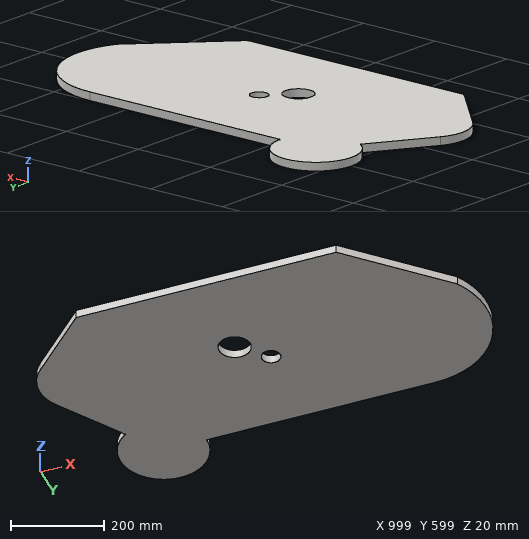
import cadquery as cq
import math

LENGTH = 999
THICKNESS = 20
TOP_EDGE = 499

END_RADIUS = 200
END_ARC_STOP = math.radians(-30)

CORNER_RADIUS = 100
BOTTOM_LEFT_X = 170

DISC_RADIUS = 100
DISC_X = 170
DISC_Y = TOP_EDGE

LARGE_HOLE_DIAMETER = 71.0
LARGE_HOLE_CENTER = (446.0, 224.0)
SMALL_HOLE_DIAMETER = 42.0
HOLE_OFFSET = 60

end_x = LENGTH - END_RADIUS
end_y = TOP_EDGE - END_RADIUS
corner_x = CORNER_RADIUS
corner_y = BOTTOM_LEFT_X - corner_x + CORNER_RADIUS * math.sqrt(2)


def on_circle(x, y, radius, angle):
    return (x + radius * math.cos(angle), y + radius * math.sin(angle))


def end_point(angle):
    return on_circle(end_x, end_y, END_RADIUS, angle)


def corner_point(angle):
    return on_circle(corner_x, corner_y, CORNER_RADIUS, angle)


center_distance = math.hypot(DISC_X - corner_x, DISC_Y - corner_y)
center_direction = math.atan2(DISC_Y - corner_y, DISC_X - corner_x)
upper_tangent = center_direction + math.acos(CORNER_RADIUS / center_distance)
lower_tangent = math.radians(225)

end_stop = end_point(END_ARC_STOP)
bottom_right_x = end_stop[0] - end_stop[1]


def make_body():
    return (
        cq.Workplane("XY")
        .moveTo(BOTTOM_LEFT_X, 0)
        .lineTo(bottom_right_x, 0)
        .lineTo(*end_stop)
        .threePointArc(end_point(math.radians(30)), end_point(math.radians(90)))
        .lineTo(DISC_X, DISC_Y)
        .lineTo(*corner_point(upper_tangent))
        .threePointArc(
            corner_point((upper_tangent + lower_tangent) / 2),
            corner_point(lower_tangent),
        )
        .close()
        .extrude(THICKNESS)
    )


def make_disc():
    return cq.Workplane("XY").center(DISC_X, DISC_Y).circle(DISC_RADIUS).extrude(THICKNESS)


def make_hole(center, diameter):
    return cq.Workplane("XY").center(*center).circle(diameter / 2).extrude(THICKNESS)


small_hole_center = tuple(place + HOLE_OFFSET for place in LARGE_HOLE_CENTER)

result = (
    make_body()
    .union(make_disc())
    .cut(make_hole(LARGE_HOLE_CENTER, LARGE_HOLE_DIAMETER))
    .cut(make_hole(small_hole_center, SMALL_HOLE_DIAMETER))
)